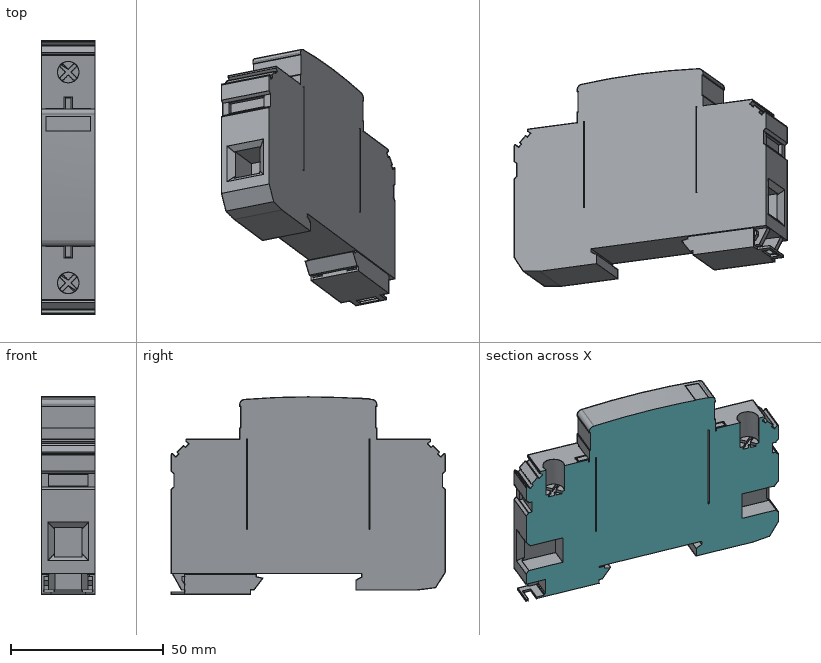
import cadquery as cq

WIDTH = 17.6
LENGTH = 89.8
HEIGHT = 64.68
END_Y = LENGTH / 2

SHOULDER_Z = 50.84
RAIL_Z = 6.77
FOOT_Z = 1.4

DECK_END_Y = 40.1
END_WALL_TOP_Z = 46.05
LIP_CHAMFER = 0.2

GROOVE_DEPTH = 0.9
GROOVE_TOP_Z = 40.3
GROOVE_BOTTOM_Z = 34.35
GROOVE_CHAMFER = 0.8
WINDOW_WIDTH = 12.8
WINDOW_TOP_Z = 39.25
WINDOW_BOTTOM_Z = 35.45
WINDOW_DEPTH = 1.2

MODULE_HALF = 22.45
WAIST_HALF = 22.15
WAIST_BOTTOM_Z = 54.45
WAIST_TOP_Z = 61.5
CORNER_RADIUS = 1.8
DOME_EDGE_Z = 63.69
STEM_HALF = 20.2
STEM_BOTTOM_Z = 21.35
STEM_GAP = 0.3
LABEL_WIDTH = 14.5
LABEL_INNER_Y = 15.3
LABEL_OUTER_Y = 20.0
LABEL_RISE = 0.12

CLIP_WIDTH = 2.65
CLIP_END_Y = 26.4
CLIP_GAP = 0.4
CLIP_DEPTH = 1.0
CLIP_SLIT_END_Y = 22.65

SCREW_Y = 34.5
SCREW_DIAMETER = 7.0
SCREW_SINK = 10.0
SCREW_SLOT_WIDTH = 1.3
SCREW_SLOT_DEPTH = 1.0

ENTRY_WIDTH = 13.4
ENTRY_BOTTOM_Z = 11.05
ENTRY_TOP_Z = 23.6
FUNNEL_DEPTH = 1.85
BORE_WIDTH = 9.0
BORE_BOTTOM_Z = 12.2
BORE_TOP_Z = 21.8
BORE_DEPTH = 13.0

LATCH_END_Y = -40.5
LATCH_TOP_Z = 6.5
LATCH_FLOOR = 0.8
LATCH_WALL = 0.8
LATCH_LIP_THICKNESS = 0.75
LATCH_MOUTH_WIDTH = 14.0
HOOK_TIP_Y = -14.8
HOOK_TIP_Z = 5.3
HOOK_TOP_Y = -17.0
HOOK_STEP_Z = 5.75
HOOK_HEEL_Y = -17.75
HOOK_BOTTOM_Z = 1.45
LATCH_START_Y = -18.85
TONGUE_WIDTH = 9.2
TONGUE_END_Y = -38.5
TAB_WIDTH = 11.2
TAB_SLOT_WIDTH = 7.0
TAB_SLOT_LENGTH = 2.9
TAB_BAR = 0.8

GUIDE_WIDTH = 12.9
GUIDE_TOP_Y = -44.5
GUIDE_BOTTOM_Y = -41.5
GUIDE_NOTCH_WIDTH = 8.7
GUIDE_NOTCH_END_Y = -38.0
RIB_FACE_Y = -41.25
RIB_BACK_Y = -40.1
RIB_EDGE_Z = 4.5
RIB_BOTTOM_Z = 2.85


def extrude_profile(points, width):
    """Solid from a closed (Y, Z) outline, centred on X = 0."""
    return cq.Workplane("YZ").polyline(points).close().extrude(width / 2, both=True)


def block(width, y_start, y_end, z_bottom, z_top):
    """Box centred on X = 0 between the given Y and Z limits."""
    centre = (0, (y_start + y_end) / 2, (z_bottom + z_top) / 2)
    size = (width, abs(y_end - y_start), z_top - z_bottom)
    return cq.Workplane("XY").box(*size).translate(centre)


def mirrored_in_y(points):
    """The same outline on the opposite end, walked in reverse."""
    return [(-y, z) for y, z in reversed(points)]


def make_housing():
    groove_floor_y = END_Y - GROOVE_DEPTH
    upper_end = [
        (DECK_END_Y - LIP_CHAMFER, SHOULDER_Z),
        (DECK_END_Y, SHOULDER_Z - LIP_CHAMFER),
        (DECK_END_Y, 50.1),
        (39.1, 49.3),
        (40.25, 48.15),
        (40.85, 48.7),
        (43.0, 46.55),
        (42.4, 46.0),
        (43.4, 45.0),
        (44.4, END_WALL_TOP_Z),
        (END_Y - LIP_CHAMFER, END_WALL_TOP_Z),
        (END_Y, END_WALL_TOP_Z - 2 * LIP_CHAMFER),
        (END_Y, GROOVE_TOP_Z),
        (groove_floor_y, GROOVE_TOP_Z - GROOVE_CHAMFER),
        (groove_floor_y, GROOVE_BOTTOM_Z + GROOVE_CHAMFER),
        (END_Y, GROOVE_BOTTOM_Z),
    ]
    foot = [
        (END_Y, 7.25),
        (41.7, 2.15),
        (35.8, FOOT_Z),
        (15.55, FOOT_Z),
        (15.55, 4.6),
        (17.5, 5.7),
        (17.5, RAIL_Z),
    ]
    latch_end = [(-END_Y, RAIL_Z)]
    return extrude_profile(upper_end + foot + latch_end + mirrored_in_y(upper_end), WIDTH)


def make_module_head():
    sharp_head = (
        cq.Workplane("YZ")
        .moveTo(-MODULE_HALF, SHOULDER_Z)
        .lineTo(MODULE_HALF, SHOULDER_Z)
        .lineTo(MODULE_HALF, WAIST_BOTTOM_Z)
        .lineTo(WAIST_HALF, WAIST_BOTTOM_Z)
        .lineTo(WAIST_HALF, WAIST_TOP_Z)
        .lineTo(MODULE_HALF, WAIST_TOP_Z)
        .lineTo(MODULE_HALF, DOME_EDGE_Z)
        .threePointArc((0, HEIGHT), (-MODULE_HALF, DOME_EDGE_Z))
        .lineTo(-MODULE_HALF, WAIST_TOP_Z)
        .lineTo(-WAIST_HALF, WAIST_TOP_Z)
        .lineTo(-WAIST_HALF, WAIST_BOTTOM_Z)
        .lineTo(-MODULE_HALF, WAIST_BOTTOM_Z)
        .close()
        .extrude(WIDTH / 2, both=True)
    )
    corner_height = cq.selectors.BoxSelector(
        (-WIDTH, -LENGTH, DOME_EDGE_Z - CORNER_RADIUS / 2),
        (WIDTH, LENGTH, DOME_EDGE_Z + CORNER_RADIUS / 2),
    )
    return sharp_head.edges("|X").edges(corner_height).fillet(CORNER_RADIUS)


def make_label(head):
    """Thin label that follows the domed top of the module."""
    footprint = block(LABEL_WIDTH, LABEL_INNER_Y, LABEL_OUTER_Y, WAIST_TOP_Z, HEIGHT)
    return head.translate((0, 0, LABEL_RISE)).intersect(footprint)


def make_stem_gap(side):
    """Gap between the module and the housing, on the side given by the sign."""
    return block(WIDTH, side * STEM_HALF, side * (STEM_HALF - STEM_GAP), STEM_BOTTOM_Z, SHOULDER_Z)


def make_clip_gap(side):
    floor_z = SHOULDER_Z - CLIP_DEPTH
    slit = block(LABEL_WIDTH, side * MODULE_HALF, side * CLIP_SLIT_END_Y, floor_z, SHOULDER_Z)
    recess = block(CLIP_WIDTH, side * MODULE_HALF, side * CLIP_END_Y, floor_z, SHOULDER_Z)
    tongue_width = CLIP_WIDTH - 2 * CLIP_GAP
    tongue_end_y = CLIP_END_Y - CLIP_GAP
    tongue = block(tongue_width, side * MODULE_HALF, side * tongue_end_y, floor_z, SHOULDER_Z)
    return slit.union(recess).cut(tongue)


def make_screw_recess(side):
    """Screw shaft with the cross slot of the screw head at its bottom."""
    shaft = (
        cq.Workplane("XY", origin=(0, side * SCREW_Y, SHOULDER_Z))
        .circle(SCREW_DIAMETER / 2)
        .extrude(-SCREW_SINK)
    )
    head = cq.Workplane("XY", origin=(0, side * SCREW_Y, SHOULDER_Z - SCREW_SINK))
    for angle in (45, -45):
        slot = head.transformed(rotate=(0, 0, angle)).slot2D(SCREW_DIAMETER, SCREW_SLOT_WIDTH)
        shaft = shaft.union(slot.extrude(-SCREW_SLOT_DEPTH))
    return shaft


def make_wire_entry():
    """Tapered wire entry in the -Y end wall, leading to a square bore."""
    entry_height = ENTRY_TOP_Z - ENTRY_BOTTOM_Z
    taper = ENTRY_WIDTH - BORE_WIDTH
    funnel = (
        cq.Workplane("XZ", origin=(0, -END_Y, (ENTRY_TOP_Z + ENTRY_BOTTOM_Z) / 2))
        .rect(ENTRY_WIDTH, entry_height)
        .workplane(offset=-FUNNEL_DEPTH)
        .rect(BORE_WIDTH, entry_height - taper)
        .loft(ruled=True)
    )
    bore = block(BORE_WIDTH, -END_Y, -END_Y + BORE_DEPTH, BORE_BOTTOM_Z, BORE_TOP_Z)
    return funnel.union(bore)


def make_groove_window():
    """Rectangular pocket in the floor of the label groove at the -Y end."""
    floor_y = -END_Y + GROOVE_DEPTH + WINDOW_DEPTH
    return block(WINDOW_WIDTH, -END_Y, floor_y, WINDOW_BOTTOM_Z, WINDOW_TOP_Z)


def make_latch():
    """Sliding U-channel with a hook at its inner end and a pull tab at its outer end."""
    outline = [
        (LATCH_END_Y, 0),
        (LATCH_START_Y, 0),
        (LATCH_START_Y, HOOK_BOTTOM_Z),
        (HOOK_HEEL_Y, HOOK_BOTTOM_Z),
        (HOOK_TIP_Y, HOOK_TIP_Z),
        (HOOK_TOP_Y, HOOK_STEP_Z),
        (HOOK_TOP_Y, LATCH_TOP_Z),
        (LATCH_END_Y, LATCH_TOP_Z),
    ]
    lip_z = LATCH_TOP_Z - LATCH_LIP_THICKNESS
    channel_width = WIDTH - 2 * LATCH_WALL
    channel = block(channel_width, LATCH_END_Y, LATCH_START_Y, LATCH_FLOOR, lip_z)
    mouth = block(LATCH_MOUTH_WIDTH, LATCH_END_Y, LATCH_START_Y, lip_z, LATCH_TOP_Z)
    tongue = block(TONGUE_WIDTH, TONGUE_END_Y, LATCH_START_Y, LATCH_FLOOR, FOOT_Z)
    tab = block(TAB_WIDTH, LATCH_END_Y, -END_Y, 0, LATCH_FLOOR)
    slot_start_y = -END_Y + TAB_BAR
    tab_slot = block(TAB_SLOT_WIDTH, slot_start_y, slot_start_y + TAB_SLOT_LENGTH, 0, LATCH_FLOOR)
    body = extrude_profile(outline, WIDTH).cut(channel).cut(mouth)
    return body.union(tongue).union(tab.cut(tab_slot))


def make_latch_guide():
    """Block under the housing that carries the latch, with a rib along each side."""
    guide_outline = [
        (LATCH_START_Y, RAIL_Z),
        (GUIDE_TOP_Y, RAIL_Z),
        (GUIDE_BOTTOM_Y, FOOT_Z),
        (LATCH_START_Y, FOOT_Z),
    ]
    rib_top_z = LATCH_TOP_Z - LATCH_LIP_THICKNESS
    rib_outline = [
        (LATCH_START_Y, rib_top_z),
        (RIB_FACE_Y, rib_top_z),
        (RIB_FACE_Y, RIB_EDGE_Z),
        (RIB_BACK_Y, RIB_BOTTOM_Z),
        (LATCH_START_Y, RIB_BOTTOM_Z),
    ]
    guide = extrude_profile(guide_outline, GUIDE_WIDTH)
    notch = block(GUIDE_NOTCH_WIDTH, GUIDE_TOP_Y, GUIDE_NOTCH_END_Y, FOOT_Z, RAIL_Z)
    ribs = extrude_profile(rib_outline, WIDTH - 2 * LATCH_WALL)
    return guide.union(ribs).cut(notch)


module_head = make_module_head()
result = make_housing().union(module_head).union(make_label(module_head))

for end_side in (-1, 1):
    result = result.cut(make_stem_gap(end_side))
    result = result.cut(make_clip_gap(end_side))
    result = result.cut(make_screw_recess(end_side))

for end_pocket in (make_wire_entry(), make_groove_window()):
    result = result.cut(end_pocket).cut(end_pocket.mirror("XZ"))

result = result.union(make_latch_guide()).union(make_latch())